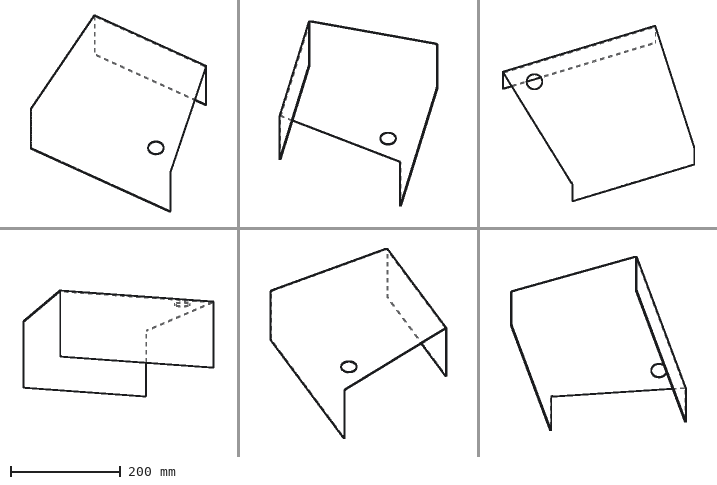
import cadquery as cq

length = 291.0
width = 241.2
height = 125.0
sheet = 2.0

bend_radius = 4.5
corner_radius = 2.0

back_end = 232.5
back_bend_end = 233.5

hole_diameter = 28.2
hole_x = 241.2
hole_y = 35.8


def folded_channel():
    """Inverted U of constant sheet thickness, extruded along X."""
    outer = (
        cq.Workplane("XY")
        .box(length, width, height, centered=False)
        .edges("|X and >Z")
        .fillet(bend_radius)
    )
    inner = (
        cq.Workplane("XY")
        .box(length, width - 2 * sheet, height - sheet, centered=False)
        .translate((0, sheet, 0))
        .edges("|X and >Z")
        .fillet(bend_radius - sheet)
    )
    return outer.cut(inner)


def top_outline():
    """Plan outline, slanted at +X with the back flange cut square."""
    back_bend = width - bend_radius
    return (
        cq.Workplane("XY")
        .polyline([
            (0, 0),
            (length, 0),
            (back_bend_end, back_bend),
            (back_end, back_bend),
            (back_end, width),
            (0, width),
        ])
        .close()
        .extrude(height)
    )


def panel_hole():
    """Cutter for the round hole through the top panel."""
    return (
        cq.Workplane("XY", origin=(hole_x, hole_y, 0))
        .circle(hole_diameter / 2)
        .extrude(height)
    )


def rounded_flange_blank(end_x, start_y):
    """Flange block whose two lower corners are rounded as seen along Y."""
    return (
        cq.Workplane("XY")
        .box(end_x, sheet, height, centered=False)
        .translate((0, start_y, 0))
        .edges("|Y and <Z")
        .fillet(corner_radius)
    )


front_blank = rounded_flange_blank(length, 0)
back_flange_blank = rounded_flange_blank(back_end, width - sheet)
panel_blank = (
    cq.Workplane("XY")
    .box(length, width, height / 2, centered=False)
    .translate((0, 0, height / 2))
)
blank = front_blank.union(back_flange_blank).union(panel_blank)

result = folded_channel().intersect(top_outline()).intersect(blank).cut(panel_hole())